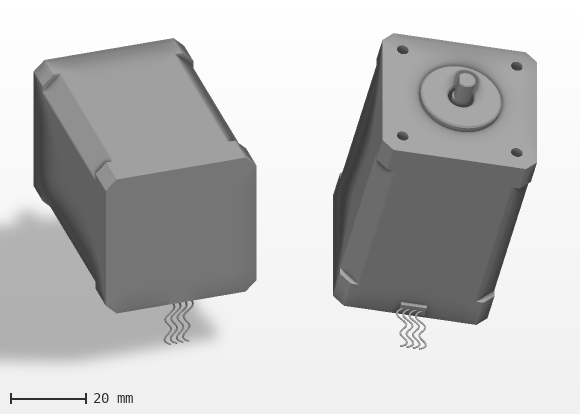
import cadquery as cq


motor_width = 42.0
front_length = 7.9
stator_length = 46.05
rear_length = 8.95
cap_chamfer = 3.0
stator_chamfer = 5.0
stator_edge_radius = 1.0
mount_hole_spacing = 31.0
mount_hole_diameter = 3.15

hub_diameter = 33.45
pilot_diameter = 22.0
pilot_height = 2.0
pilot_chamfer = 0.4
bore_diameter = 7.0
bore_chamfer = 0.5

shaft_diameter = 5.0
shaft_protrusion = 8.7
shaft_chamfer = 0.3
flat_offset = 1.9

block_length = 3.15
block_width = 7.0
block_height = 1.0
block_inset = 1.6
wire_count = 4
wire_diameter = 0.5
wire_pitch = 1.7

wire_root = (-0.35, -0.35)
wire_bends = [(1.7, 2.1), (-0.85, 5.5), (0.8, 8.7), (-1.0, 11.8)]
wire_end = (0.7, 13.5)

stator_start = front_length
rear_start = stator_start + stator_length
rear_end = rear_start + rear_length
block_center_x = rear_end - block_inset - block_length / 2
block_bottom_z = -motor_width / 2 - block_height


def square_prism(start_x, length, corner_chamfer):
    """Square bar along X with its four long edges chamfered."""
    return (
        cq.Workplane("YZ", origin=(start_x, 0, 0))
        .rect(motor_width, motor_width)
        .extrude(length)
        .edges("|X")
        .chamfer(corner_chamfer)
    )


def axial_cylinder(diameter, start_x, length):
    """Round bar on the motor axis."""
    return cq.Workplane("YZ", origin=(start_x, 0, 0)).circle(diameter / 2).extrude(length)


def make_front_cap():
    """Flange with a seat for the hub and four mounting holes."""
    mount_holes = (
        cq.Workplane("YZ")
        .rect(mount_hole_spacing, mount_hole_spacing, forConstruction=True)
        .vertices()
        .circle(mount_hole_diameter / 2)
        .extrude(front_length)
    )
    hub_seat = axial_cylinder(hub_diameter, 0, front_length)
    return square_prism(0, front_length, cap_chamfer).cut(hub_seat).cut(mount_holes)


def make_hub():
    """Disc filling the seat of the front cap, with the pilot boss and the shaft bore."""
    disc = axial_cylinder(hub_diameter, 0, front_length)
    pilot = axial_cylinder(pilot_diameter, -pilot_height, pilot_height)
    pilot = pilot.faces("<X").edges().chamfer(pilot_chamfer)
    bore = axial_cylinder(bore_diameter, -pilot_height, pilot_height + front_length)
    hub = disc.union(pilot).cut(bore)
    bore_rim = cq.selectors.RadiusNthSelector(0)
    return hub.faces("<X").edges(bore_rim).chamfer(bore_chamfer)


def make_stator():
    """Middle of the housing; its broad corner chamfers have rounded borders."""
    stator = square_prism(stator_start, stator_length, stator_chamfer)
    return stator.edges("|X").fillet(stator_edge_radius)


def make_shaft():
    """Round shaft standing on the stator; the flat runs from the tip to the pilot face."""
    shaft = axial_cylinder(shaft_diameter, -shaft_protrusion, shaft_protrusion + front_length)
    shaft = shaft.faces("<X").edges().chamfer(shaft_chamfer)
    flat_length = shaft_protrusion - pilot_height
    flat_cut = cq.Workplane("XY").box(
        flat_length, shaft_diameter, shaft_diameter, centered=(False, False, True)
    )
    return shaft.cut(flat_cut.translate((-shaft_protrusion, flat_offset, 0)))


def make_wire(row_y):
    """One wavy wire hanging from the lead block, rooted a little way inside it."""
    points = [
        (row_y + shift, block_bottom_z - drop) for shift, drop in [wire_root, *wire_bends, wire_end]
    ]
    downward = (0, -1)
    slanting_out = (2, -1)
    tangents = [slanting_out] + [downward] * len(wire_bends) + [slanting_out]
    path = cq.Workplane("YZ", origin=(block_center_x, 0, 0)).spline(points, tangents=tangents)
    root_plane = cq.Plane(
        origin=(block_center_x, *points[0]), xDir=(1, 0, 0), normal=(0, *slanting_out)
    )
    return cq.Workplane(root_plane).circle(wire_diameter / 2).sweep(path)


def make_rear_cap():
    """End cap carrying the lead block and its wires."""
    cap = square_prism(rear_start, rear_length, cap_chamfer)
    block = cq.Workplane("XY", origin=(block_center_x, 0, block_bottom_z)).box(
        block_length, block_width, block_height, centered=(True, True, False)
    )
    cap = cap.union(block)
    for index in range(wire_count):
        row_y = (index - (wire_count - 1) / 2) * wire_pitch
        cap = cap.union(make_wire(row_y))
    return cap


front_cap = make_front_cap()
hub = make_hub()
stator = make_stator()
rear_cap = make_rear_cap()
shaft = make_shaft()

result = cq.Compound.makeCompound(
    [front_cap.val(), hub.val(), stator.val(), rear_cap.val(), shaft.val()]
)